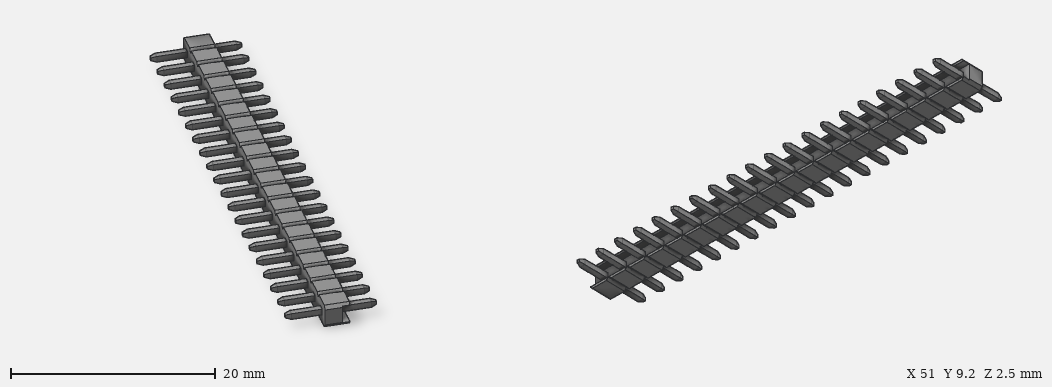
import cadquery as cq

pin_count = 20
pitch = 2.55
row_length = pin_count * pitch

body_depth = 2.55
body_height = 2.5
body_front_y = 0.0
body_back_y = body_front_y + body_depth
corner_width = 0.3
corner_height = 0.38
lip_thickness = 0.3
channel_depth = 0.75

pin_size = 0.65
pin_tip_size = 0.33
pin_taper_length = 0.55
pin_front_reach = 3.65
pin_back_reach = 3.0
pin_shift_x = -0.1


def segment_center(index):
    return (index + 0.5) * pitch - row_length / 2


def body_segment(center_x):
    """Octagonal block; neighbouring blocks form V grooves between them."""
    half_width = pitch / 2
    half_height = body_height / 2
    flat_x = half_width - corner_width
    flat_z = half_height - corner_height
    outline = [
        (-flat_x, -half_height),
        (flat_x, -half_height),
        (half_width, -flat_z),
        (half_width, flat_z),
        (flat_x, half_height),
        (-flat_x, half_height),
        (-half_width, flat_z),
        (-half_width, -flat_z),
    ]
    return (
        cq.Workplane("XZ", origin=(center_x, body_back_y, 0))
        .polyline(outline)
        .close()
        .extrude(body_depth)
    )


def back_channel():
    """Full-length channel that leaves a thin lip above and below it."""
    return cq.Workplane("XY").box(
        row_length,
        channel_depth,
        body_height - 2 * lip_thickness,
    ).translate((0, body_back_y - channel_depth / 2, 0))


def pin_taper(center_x, tip_y, base_y):
    """Four-sided taper from the small tip square to the full pin section."""
    return (
        cq.Workplane("XZ", origin=(center_x, tip_y, 0))
        .rect(pin_tip_size, pin_tip_size)
        .workplane(offset=tip_y - base_y)
        .rect(pin_size, pin_size)
        .loft(ruled=True)
    )


def pin(center_x):
    """Straight square pin with a taper at both ends."""
    front_tip_y = body_front_y - pin_front_reach
    back_tip_y = body_back_y + pin_back_reach
    front_base_y = front_tip_y + pin_taper_length
    back_base_y = back_tip_y - pin_taper_length
    shank = (
        cq.Workplane("XZ", origin=(center_x, back_base_y, 0))
        .rect(pin_size, pin_size)
        .extrude(back_base_y - front_base_y)
    )
    front_taper = pin_taper(center_x, front_tip_y, front_base_y)
    back_taper = pin_taper(center_x, back_tip_y, back_base_y)
    return shank.union(front_taper).union(back_taper)


centers = [segment_center(index) for index in range(pin_count)]

result = body_segment(centers[0])
for center in centers[1:]:
    result = result.union(body_segment(center))

result = result.cut(back_channel())

for center in centers:
    result = result.union(pin(center + pin_shift_x))

result = result.clean()